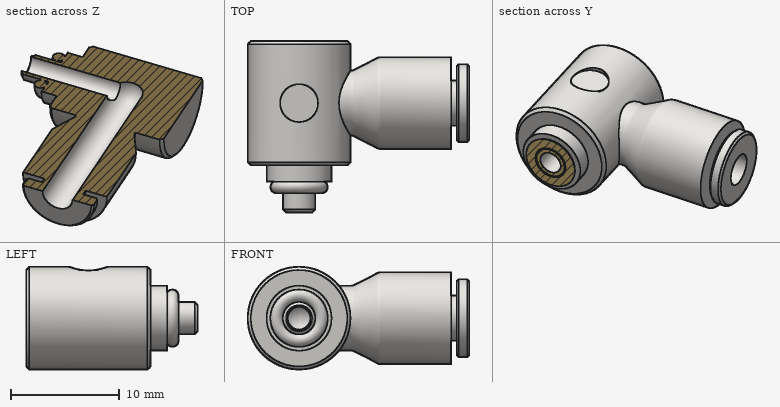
import cadquery as cq
import math


BODY_DIAMETER = 9.5
BODY_LENGTH = 11.5
BODY_CHAMFER = 0.3

COLLAR_DIAMETER = 6.0
COLLAR_LENGTH = 1.5
NOZZLE_DIAMETER = 3.0
NOZZLE_LENGTH = 2.85
NOZZLE_CHAMFER = 0.3
ORING_DIAMETER = 5.3
ORING_OFFSET = 0.5

NECK_DIAMETER = 6.0
SLEEVE_DIAMETER = 8.5
CONE_START = 4.93
CONE_END = 7.37
CONE_BLEND_RADIUS = 0.7
SLEEVE_END = 14.03
RELEASE_STEM_DIAMETER = 4.2
RELEASE_STEM_LENGTH = 0.5
RELEASE_RING_DIAMETER = 7.2
RELEASE_RING_END = 15.71
RELEASE_RING_CHAMFER = 0.2

NOZZLE_BORE_DIAMETER = 2.1
BRANCH_BORE_DIAMETER = 3.0

RECESS_DIAMETER = 3.5
RECESS_DEPTH = 0.35

BODY_BOTTOM = -BODY_LENGTH / 2
COLLAR_BOTTOM = BODY_BOTTOM - COLLAR_LENGTH
NOZZLE_TIP = COLLAR_BOTTOM - NOZZLE_LENGTH


def cylinder_along_y(diameter, start, end):
    """Cylinder on the Y axis between two Y positions, start being the higher one."""
    plane = cq.Workplane("XZ", origin=(0, start, 0))
    return plane.circle(diameter / 2).extrude(start - end)


def cylinder_along_x(diameter, start, end):
    """Cylinder on the X axis between two X positions, start being the lower one."""
    plane = cq.Workplane("YZ", origin=(start, 0, 0))
    return plane.circle(diameter / 2).extrude(end - start)


def make_body():
    body = cylinder_along_y(BODY_DIAMETER, BODY_LENGTH / 2, BODY_BOTTOM)
    return body.faces("<Y or >Y").chamfer(BODY_CHAMFER)


def make_oring():
    """Torus that hugs the nozzle just below the collar."""
    section_radius = (ORING_DIAMETER - NOZZLE_DIAMETER) / 4
    ring_radius = ORING_DIAMETER / 2 - section_radius
    centre = cq.Vector(0, COLLAR_BOTTOM - ORING_OFFSET, 0)
    return cq.Workplane(cq.Solid.makeTorus(ring_radius, section_radius, centre, cq.Vector(0, 1, 0)))


def make_plug():
    collar = cylinder_along_y(COLLAR_DIAMETER, BODY_BOTTOM, COLLAR_BOTTOM)
    nozzle = cylinder_along_y(NOZZLE_DIAMETER, COLLAR_BOTTOM, NOZZLE_TIP)
    nozzle = nozzle.faces("<Y").chamfer(NOZZLE_CHAMFER)
    return collar.union(nozzle).union(make_oring())


def make_branch():
    """Neck, cone and sleeve, turned about X with rounded blends at both ends of the cone."""
    neck_radius = NECK_DIAMETER / 2
    sleeve_radius = SLEEVE_DIAMETER / 2
    cone_angle = math.atan2(sleeve_radius - neck_radius, CONE_END - CONE_START)
    tangent = CONE_BLEND_RADIUS * math.tan(cone_angle / 2)
    along = tangent * math.cos(cone_angle)
    up = tangent * math.sin(cone_angle)
    profile = (
        cq.Workplane("XY")
        .lineTo(0, neck_radius)
        .lineTo(CONE_START - tangent, neck_radius)
        .tangentArcPoint((CONE_START + along, neck_radius + up), relative=False)
        .lineTo(CONE_END - along, sleeve_radius - up)
        .tangentArcPoint((CONE_END + tangent, sleeve_radius), relative=False)
        .lineTo(SLEEVE_END, sleeve_radius)
        .lineTo(SLEEVE_END, 0)
        .close()
    )
    return profile.revolve(360, (0, 0, 0), (1, 0, 0))


def make_release_ring():
    """Flanged button at the mouth of the branch that frees the tube."""
    ring_start = SLEEVE_END + RELEASE_STEM_LENGTH
    stem = cylinder_along_x(RELEASE_STEM_DIAMETER, SLEEVE_END, ring_start)
    ring = cylinder_along_x(RELEASE_RING_DIAMETER, ring_start, RELEASE_RING_END)
    ring = ring.faces("<X or >X").chamfer(RELEASE_RING_CHAMFER)
    return stem.union(ring)


def make_passage():
    """Elbow passage: nozzle bore into a branch bore that ends in a hemisphere."""
    nozzle_bore = cylinder_along_y(NOZZLE_BORE_DIAMETER, 0, NOZZLE_TIP)
    branch_bore = cylinder_along_x(BRANCH_BORE_DIAMETER, 0, RELEASE_RING_END)
    bore_end = cq.Workplane("XY").sphere(BRANCH_BORE_DIAMETER / 2)
    return nozzle_bore.union(branch_bore).union(bore_end)


def make_recess():
    floor = BODY_DIAMETER / 2 - RECESS_DEPTH
    plane = cq.Workplane("XY", origin=(0, 0, floor))
    return plane.circle(RECESS_DIAMETER / 2).extrude(2 * RECESS_DEPTH)


outside = make_body().union(make_plug()).union(make_branch()).union(make_release_ring())
result = outside.cut(make_passage()).cut(make_recess())